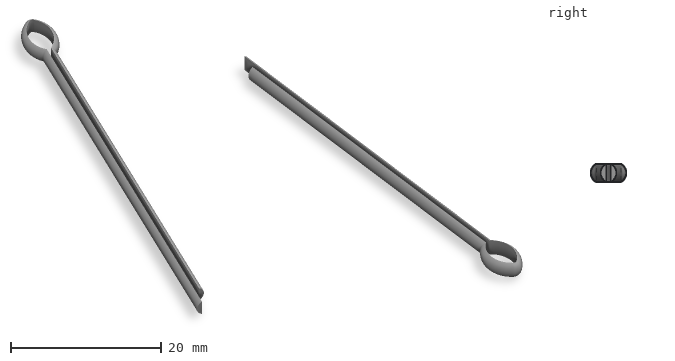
import cadquery as cq
import math


length = 56.3
leg_step = 2.35
wire_height = 2.4
wire_thickness = 0.75
leg_gap = 0.6
eye_width = 4.8
side_radius = 3.5
nose_radius = 0.45

half_gap = leg_gap / 2
half_height = wire_height / 2
side_offset = side_radius + wire_thickness - eye_width / 2
center_distance = side_radius - nose_radius
nose_x = nose_radius + wire_thickness
eye_x = nose_x + math.sqrt(center_distance**2 - side_offset**2)
neck_x = eye_x + math.sqrt(side_radius**2 - (side_offset + half_gap) ** 2)
tangent_angle = math.degrees(math.asin(side_offset / center_distance))


def wire_section(plane, flat_at):
    """Half-round section: flat face at flat_at, crown further out along the plane's local x."""
    return (
        cq.Workplane(plane)
        .moveTo(flat_at, -half_height)
        .threePointArc((flat_at + wire_thickness, 0), (flat_at, half_height))
        .close()
    )


def bent_wire(inner_radius, start_angle, sweep_angle):
    """Wire bent anticlockwise about the Z axis, its flat face on the inside of the bend."""
    bend = wire_section("XZ", inner_radius).revolve(sweep_angle, (0, 0), (0, 1))
    return bend.rotate((0, 0, 0), (0, 0, 1), start_angle)


def eye_side():
    """Long +Y side of the eye, running down to the flat face of its leg."""
    bend = bent_wire(side_radius, 0, 180 - tangent_angle).translate((eye_x, -side_offset, 0))
    beyond_gap = cq.Workplane("XY").box(length, length, length).translate((0, length / 2 + half_gap, 0))
    return bend.intersect(beyond_gap)


def leg(tip_x):
    """Straight +Y leg from the neck of the eye to its tip."""
    section_plane = cq.Plane(origin=(neck_x, 0, 0), xDir=(0, 1, 0), normal=(1, 0, 0))
    return wire_section(section_plane, half_gap).extrude(tip_x - neck_x)


def pin_half(tip_x):
    """One side of the eye with its leg, on the +Y side."""
    return eye_side().union(leg(tip_x))


nose = bent_wire(nose_radius, 180 - tangent_angle, 2 * tangent_angle).translate((nose_x, 0, 0))
short_half = pin_half(length - leg_step)
long_half = pin_half(length).mirror("XZ")
result = nose.union(short_half).union(long_half)